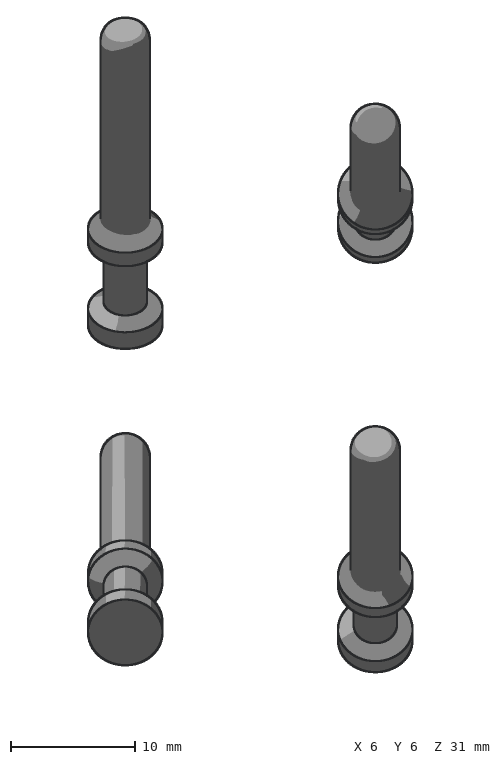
import cadquery as cq
import math

total_length = 31.0
shaft_radius = 2.0
neck_radius = 1.75
flange_radius = 3.0

flank_angle = math.radians(30)
flank_rise = (flange_radius - neck_radius) * math.tan(flank_angle)

foot_rim_height = 1.75
neck_start_z = foot_rim_height + flank_rise

neck_end_z = 7.96
collar_rim_start_z = neck_end_z + flank_rise
collar_rim_end_z = 10.1
collar_top_z = collar_rim_end_z + (flange_radius - shaft_radius)
collar_fillet_radius = 0.2

nose_height = 1.15
nose_start_z = total_length - nose_height
tip_flat_radius = 1.3
tip_round_radius = 0.5
tip_round_centre_z = total_length - tip_round_radius

tip_inset = shaft_radius - tip_flat_radius
centre_rise = tip_round_centre_z - nose_start_z
nose_side_radius = (tip_inset**2 + centre_rise**2 - tip_round_radius**2) / (2 * (tip_inset - tip_round_radius))
nose_side_centre_r = shaft_radius - nose_side_radius

blend_angle = math.atan2(centre_rise, tip_flat_radius - nose_side_centre_r)


def arc_point(centre_r, centre_z, radius, angle):
    """Point (r, z) on a circle, at an angle measured up from the radial direction."""
    return (centre_r + radius * math.cos(angle), centre_z + radius * math.sin(angle))


def nose_side_point(angle):
    return arc_point(nose_side_centre_r, nose_start_z, nose_side_radius, angle)


def tip_round_point(angle):
    return arc_point(tip_flat_radius, tip_round_centre_z, tip_round_radius, angle)


def revolve_pin():
    """Turn the half outline about the Z axis; only the collar fillet is left to add."""
    outline = (
        cq.Workplane("XZ")
        .lineTo(flange_radius, 0)
        .lineTo(flange_radius, foot_rim_height)
        .lineTo(neck_radius, neck_start_z)
        .lineTo(neck_radius, neck_end_z)
        .lineTo(flange_radius, collar_rim_start_z)
        .lineTo(flange_radius, collar_rim_end_z)
        .lineTo(shaft_radius, collar_top_z)
        .lineTo(shaft_radius, nose_start_z)
        .threePointArc(nose_side_point(blend_angle / 2), nose_side_point(blend_angle))
        .threePointArc(
            tip_round_point((blend_angle + math.pi / 2) / 2),
            (tip_flat_radius, total_length),
        )
        .lineTo(0, total_length)
        .close()
    )
    return outline.revolve(360, (0, 0, 0), (0, 1, 0))


def fillet_collar_top(pin):
    """Blend the inside corner where the collar's upper cone meets the shaft."""
    def is_collar_top(edge):
        return math.isclose(edge.Center().z, collar_top_z)

    corner = [edge for edge in pin.edges("%CIRCLE").vals() if is_collar_top(edge)]
    return pin.newObject(corner).fillet(collar_fillet_radius)


result = fillet_collar_top(revolve_pin())